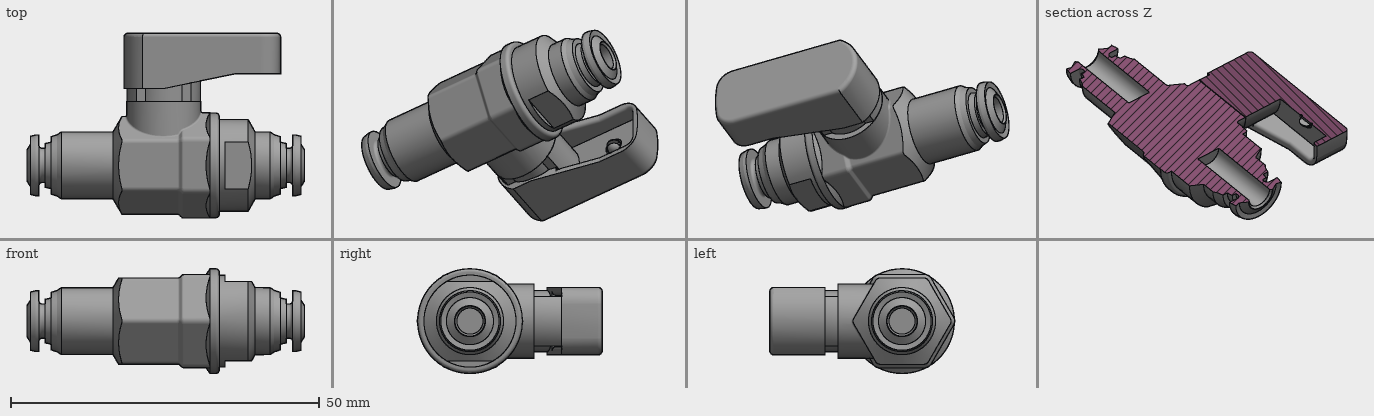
import cadquery as cq
import math


NEAR = 0.05
OVERLAP = 0.45

LEFT_END = -22.2
RIGHT_END = LEFT_END + 45
NOSE_RADIUS = 2.5
NOSE_ROOT_RADIUS = 3.82
NOSE_LENGTH = 0.75
RELEASE_RADIUS = 4.72
RELEASE_BACK_RADIUS = 4.95
RELEASE_FRONT = 0.55
RELEASE_MIDDLE = 1.45
RELEASE_BACK = 1.95
NECK_RADIUS = 2.8
NECK_FILLET = 0.55
SLEEVE_FRONT = 2.92
SLEEVE_RADIUS = 3.55
SLEEVE_BACK_RADIUS = 3.8
CAP_FRONT = 3.9
CAP_RADIUS = 4.7
CAP_BEVEL = 4.9
CAP_BEVEL_RADIUS = 5.0
BARREL_FRONT = 5.6
BARREL_RADIUS = 5.45
BORE_RADIUS = 2.1
BORE_MOUTH_RADIUS = 2.45
BORE_LEAD_IN = 0.35
BORE_DEPTH = 13.5

HEX_START = -8.25
HEX_CONE_SLOPE = math.radians(60)
HEX_FLATS = 14.0
WIDE_HEX_START = 2.48
WIDE_HEX_FLATS = 15.1
HEX_CORNER_FILLET = 0.9
WIDE_HEX_CORNER_FILLET = 1.1
HEX_STEP_FILLET = 0.4
HEX_STEP_SINK = 0.22
FLANGE_LEFT = 7.45
FLANGE_RIGHT = 9.0
FLANGE_RADIUS = 8.5
FLANGE_FILLET = 0.6
COLLAR_CONE_LENGTH = 0.65

SHOULDER_RADIUS = 7.45
SHOULDER_CONE_START = 13.7
SHOULDER_END = 14.8
WRENCH_START = 9.95
WRENCH_FLATS = 12.85

BOSS_RADIUS = 6.05
BOSS_TOP = 10.4
BOSS_FILLET = 0.25

LEVER_BOTTOM = 12.45
LEVER_TOP = 21.45
LEVER_TIP_BOTTOM = 14.85
LEVER_SLOPE_END = 11.6
LEVER_HALF_WIDTH = 5.5
LEVER_HUB_RADIUS = 6.5
LEVER_TIP = 19.0
LEVER_CORNER_FILLET = 3.1
LEVER_TOP_FILLET = 0.7
STOP_INNER_RADIUS = 5.0
STOP_OUTER_RADIUS = 6.0
STOP_HALF_WIDTH = 4.0
POCKET_FLOOR = 17.6
POCKET_START = 4.25
POCKET_END = 17.78
POCKET_HALF_WIDTH = 4.2
POCKET_CORNER_FILLET = 1.25
POCKET_MOUTH_FILLET = 0.6
STUD_X = 12.6
STUD_RADIUS = 1.2
STUD_HEIGHT = 1.3
STUD_SLOT = 0.7
STUD_SLOT_RISE = 0.2
STUD_RECESS_RADIUS = 1.5
STUD_RECESS_DEPTH = 0.22


def revolve_about_x(points):
    """Turn a half profile of (x, radius) points about the bore axis."""
    return cq.Workplane("XY").polyline(points).close().revolve(360, (0, 0, 0), (1, 0, 0))


def left_fitting():
    """Stepped release collar and cap, from the left end up to the barrel."""
    release_collar = [
        (0, 0),
        (0, NOSE_RADIUS),
        (NOSE_LENGTH, NOSE_ROOT_RADIUS),
        (RELEASE_FRONT, RELEASE_RADIUS),
        (RELEASE_MIDDLE, RELEASE_BACK_RADIUS),
        (RELEASE_BACK, RELEASE_BACK_RADIUS),
        (RELEASE_BACK, NECK_RADIUS + NECK_FILLET),
    ]
    sleeve_and_cap = [
        (SLEEVE_FRONT, NECK_RADIUS),
        (SLEEVE_FRONT, SLEEVE_RADIUS),
        (CAP_FRONT, SLEEVE_BACK_RADIUS),
        (CAP_FRONT, CAP_RADIUS),
        (CAP_BEVEL, CAP_BEVEL_RADIUS),
        (BARREL_FRONT, BARREL_RADIUS),
        (BARREL_FRONT, 0),
    ]
    profile = cq.Workplane("XY").polyline(release_collar)
    profile = profile.radiusArc((RELEASE_BACK + NECK_FILLET, NECK_RADIUS), -NECK_FILLET)
    for station in sleeve_and_cap:
        profile = profile.lineTo(*station)
    fitting = profile.close().revolve(360, (0, 0, 0), (1, 0, 0))
    return fitting.translate((LEFT_END, 0, 0))


def left_bore():
    """Blind tube bore with a tapered mouth."""
    bore = revolve_about_x([
        (0, 0),
        (0, BORE_MOUTH_RADIUS),
        (BORE_LEAD_IN, BORE_RADIUS),
        (BORE_DEPTH, BORE_RADIUS),
        (BORE_DEPTH, 0),
    ])
    return bore.translate((LEFT_END, 0, 0))


def to_right_end(shape):
    """Mirror a left-end shape to the right end of the bore."""
    return shape.mirror("YZ").translate((LEFT_END + RIGHT_END, 0, 0))


def hex_prism(start, end, flats, corner_fillet):
    """Hexagonal bar along X with corners on the Y axis and rounded long edges."""
    corner_diameter = flats / math.cos(math.pi / 6)
    bar = cq.Workplane("YZ").polygon(6, corner_diameter).extrude(end - start)
    return bar.edges("|X").fillet(corner_fillet).translate((start, 0, 0))


def slab(x, half_width):
    """Opposite corners of a thin box across the body at x."""
    reach = 2 * FLANGE_RADIUS
    return (x - half_width, -reach, -reach), (x + half_width, reach, reach)


def hex_body():
    narrow = hex_prism(HEX_START, WIDE_HEX_START + OVERLAP, HEX_FLATS, HEX_CORNER_FILLET)
    cone_length = (FLANGE_RADIUS - BARREL_RADIUS) / math.tan(HEX_CONE_SLOPE)
    narrow = narrow.intersect(revolve_about_x([
        (HEX_START, 0),
        (HEX_START, BARREL_RADIUS),
        (HEX_START + cone_length, FLANGE_RADIUS),
        (FLANGE_RIGHT, FLANGE_RADIUS),
        (FLANGE_RIGHT, 0),
    ]))
    step = (WIDE_HEX_FLATS - HEX_FLATS) / 2
    wide = hex_prism(WIDE_HEX_START - HEX_STEP_SINK, FLANGE_LEFT, WIDE_HEX_FLATS, WIDE_HEX_CORNER_FILLET)
    wide = wide.faces("<X").chamfer(step + HEX_STEP_SINK)
    step_top = cq.selectors.BoxSelector(*slab(WIDE_HEX_START + step, NEAR), boundingbox=True)
    wide = wide.edges(step_top).fillet(HEX_STEP_FILLET)
    body = narrow.union(wide)
    step_root = cq.selectors.BoxSelector(*slab(WIDE_HEX_START, HEX_STEP_SINK), boundingbox=True)
    return body.edges(step_root).fillet(HEX_STEP_FILLET)


def flange():
    disc = revolve_about_x([
        (FLANGE_LEFT - 2 * COLLAR_CONE_LENGTH, 0),
        (FLANGE_LEFT - 2 * COLLAR_CONE_LENGTH, WIDE_HEX_FLATS - FLANGE_RADIUS),
        (FLANGE_LEFT, FLANGE_RADIUS),
        (FLANGE_RIGHT, FLANGE_RADIUS),
        (FLANGE_RIGHT, 0),
    ])
    return disc.faces(">X").edges().fillet(FLANGE_FILLET)


def shoulder():
    turned = revolve_about_x([
        (FLANGE_LEFT, 0),
        (FLANGE_LEFT, SHOULDER_RADIUS),
        (SHOULDER_CONE_START, SHOULDER_RADIUS),
        (SHOULDER_END, BARREL_RADIUS),
        (SHOULDER_END, 0),
    ])
    length = SHOULDER_END - WRENCH_START
    for side in (-1, 1):
        cutter = cq.Workplane("XY").box(length, 2 * SHOULDER_RADIUS, SHOULDER_RADIUS)
        offset = side * (WRENCH_FLATS + SHOULDER_RADIUS) / 2
        turned = turned.cut(cutter.translate((WRENCH_START + length / 2, 0, offset)))
    return turned


def barrel():
    start = LEFT_END + BARREL_FRONT
    length = RIGHT_END - BARREL_FRONT - start
    return cq.Workplane("YZ").circle(BARREL_RADIUS).extrude(length).translate((start, 0, 0))


def along_y(sketch, bottom, top):
    """Extrude a plan sketch (x, z) from bottom to top along +Y."""
    return sketch.extrude(-(top - bottom)).translate((0, bottom, 0))


def fillet_boss_root(body):
    """Round the curve where the boss wall meets the hexagon."""
    def on_boss_wall(edge):
        points = [edge.positionAt(share) for share in (0, 0.5, 1)]
        radii = [math.hypot(point.x, point.z) for point in points]
        below_top = edge.Center().y < BOSS_TOP - NEAR
        return edge.geomType() != "LINE" and below_top and all(abs(r - BOSS_RADIUS) < NEAR for r in radii)

    return body.newObject([edge for edge in body.edges().vals() if on_boss_wall(edge)]).fillet(BOSS_FILLET)


def make_valve_body():
    boss = along_y(cq.Workplane("XZ").circle(BOSS_RADIUS), 0, BOSS_TOP)
    body = hex_body().union(flange()).union(shoulder()).union(barrel())
    body = fillet_boss_root(body.union(boss))
    body = body.union(left_fitting()).union(to_right_end(left_fitting()))
    return body.cut(left_bore()).cut(to_right_end(left_bore()))


def lever_plan():
    """Plan of the lever: round hub end, straight sides, slightly bowed tip."""
    hub_x = -math.sqrt(LEVER_HUB_RADIUS**2 - LEVER_HALF_WIDTH**2)
    tip_x = math.sqrt(LEVER_TIP**2 - LEVER_HALF_WIDTH**2)
    return (
        cq.Workplane("XZ")
        .moveTo(tip_x, LEVER_HALF_WIDTH)
        .lineTo(hub_x, LEVER_HALF_WIDTH)
        .threePointArc((-LEVER_HUB_RADIUS, 0), (hub_x, -LEVER_HALF_WIDTH))
        .lineTo(tip_x, -LEVER_HALF_WIDTH)
        .threePointArc((LEVER_TIP, 0), (tip_x, LEVER_HALF_WIDTH))
        .close()
    )


def underside_cutter():
    """Everything below the sloped underside of the lever."""
    outline = [
        (0, LEVER_BOTTOM),
        (LEVER_SLOPE_END, LEVER_TIP_BOTTOM),
        (LEVER_TIP + OVERLAP, LEVER_TIP_BOTTOM),
        (LEVER_TIP + OVERLAP, LEVER_BOTTOM),
    ]
    return cq.Workplane("XY").polyline(outline).close().extrude(LEVER_TIP, both=True)


def lever_blank():
    blank = along_y(lever_plan(), LEVER_BOTTOM, LEVER_TOP)
    blank = blank.edges("|Y").edges(">X").fillet(LEVER_CORNER_FILLET)
    blank = blank.faces(">Y").edges().fillet(LEVER_TOP_FILLET)
    return blank.cut(underside_cutter())


def pocket():
    length = POCKET_END - POCKET_START
    plan = cq.Workplane("XZ").center(POCKET_START + length / 2, 0).rect(length, 2 * POCKET_HALF_WIDTH)
    cavity = along_y(plan, LEVER_BOTTOM - OVERLAP, POCKET_FLOOR)
    return cavity.edges("|Y").edges(">X").fillet(POCKET_CORNER_FILLET)


def round_pocket_mouth(lever):
    mouth = cq.selectors.BoxSelector(
        (POCKET_START + NEAR, LEVER_BOTTOM, -POCKET_HALF_WIDTH - NEAR),
        (POCKET_END + NEAR, LEVER_TIP_BOTTOM + NEAR, POCKET_HALF_WIDTH + NEAR),
    )
    return lever.edges(mouth).fillet(POCKET_MOUTH_FILLET)


def stop_collar():
    """Round collar under the lever, with a wider band whose flats act as turning stops."""
    core = along_y(cq.Workplane("XZ").circle(STOP_INNER_RADIUS), BOSS_TOP, POCKET_FLOOR)
    band = along_y(cq.Workplane("XZ").circle(STOP_OUTER_RADIUS), BOSS_TOP, POCKET_FLOOR)
    strip = along_y(
        cq.Workplane("XZ").rect(2 * STOP_OUTER_RADIUS, 2 * STOP_HALF_WIDTH), BOSS_TOP, POCKET_FLOOR
    )
    return core.union(band.intersect(strip))


def stud_recess():
    """Shallow round recess in the pocket floor around the stud."""
    plan = cq.Workplane("XZ").center(STUD_X, 0).circle(STUD_RECESS_RADIUS)
    return along_y(plan, POCKET_FLOOR - OVERLAP, POCKET_FLOOR + STUD_RECESS_DEPTH)


def slotted_stud():
    """Domed stud standing in the recess, slotted along X."""
    base_y = POCKET_FLOOR + STUD_RECESS_DEPTH
    dome_radius = (STUD_RADIUS**2 + STUD_HEIGHT**2) / (2 * STUD_HEIGHT)
    disc = along_y(cq.Workplane("XZ").circle(STUD_RADIUS), base_y - STUD_HEIGHT, base_y)
    sphere = cq.Workplane("XY").sphere(dome_radius).translate((0, base_y - STUD_HEIGHT + dome_radius, 0))
    slot = cq.Workplane("XY").box(2 * STUD_RADIUS, 2 * STUD_HEIGHT, STUD_SLOT)
    stud = disc.intersect(sphere).cut(slot.translate((0, base_y - STUD_HEIGHT - STUD_SLOT_RISE, 0)))
    return stud.translate((STUD_X, 0, 0))


def make_handle():
    lever = round_pocket_mouth(lever_blank().cut(pocket())).cut(stud_recess())
    return lever.union(stop_collar()).union(slotted_stud())


valve_body = make_valve_body()
handle = make_handle()

result = cq.Compound.makeCompound([valve_body.val(), handle.val()])